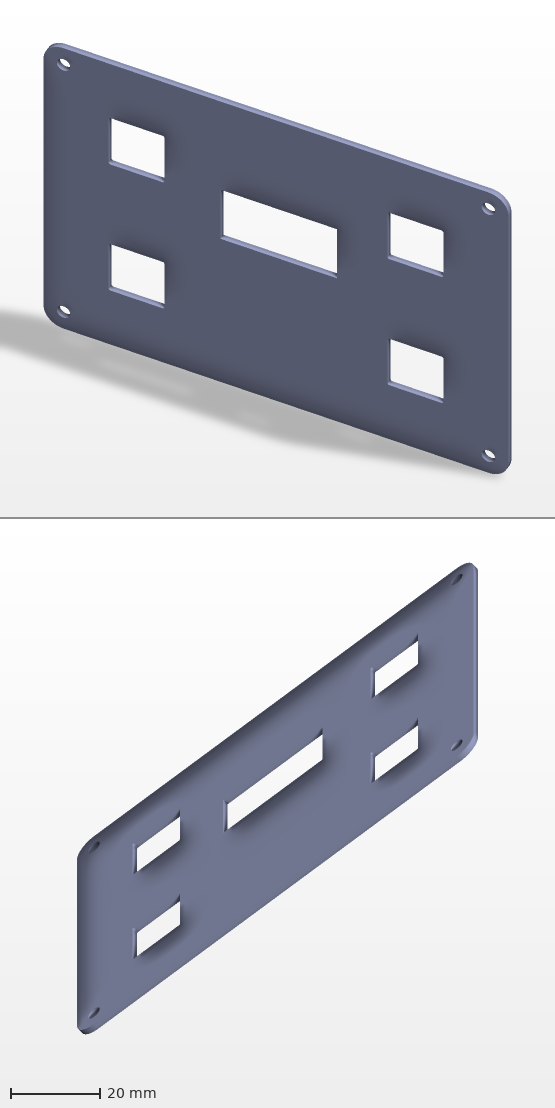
import cadquery as cq

plate_width = 116.5
plate_height = 84.5
plate_thickness = 1.5
corner_radius = 5.0

hole_diameter = 3.4
hole_spacing_x = plate_width - 2 * corner_radius
hole_spacing_z = plate_height - 2 * corner_radius

square_side = 14.0
square_corner_radius = 0.5
square_spacing_x = 69.9
square_spacing_z = 38.0

window_width = 29.2
window_height = 14.8
window_center_x = 0.7
window_center_z = 8.3


def centered_bar(width, height):
    """Rectangular block through the plate thickness, centred on the origin."""
    return cq.Workplane("XY").box(width, plate_thickness, height)


def rounded_bar(width, height, radius):
    """Block with its four edges along Y rounded."""
    return centered_bar(width, height).edges("|Y").fillet(radius)


plate = rounded_bar(plate_width, plate_height, corner_radius)

hole = cq.Workplane("XZ").circle(hole_diameter / 2).extrude(plate_thickness / 2, both=True)
square = rounded_bar(square_side, square_side, square_corner_radius)

for side_x in (-1, 1):
    for side_z in (-1, 1):
        plate = plate.cut(hole.translate((side_x * hole_spacing_x / 2, 0, side_z * hole_spacing_z / 2)))
        plate = plate.cut(square.translate((side_x * square_spacing_x / 2, 0, side_z * square_spacing_z / 2)))

window = centered_bar(window_width, window_height)
result = plate.cut(window.translate((window_center_x, 0, window_center_z)))